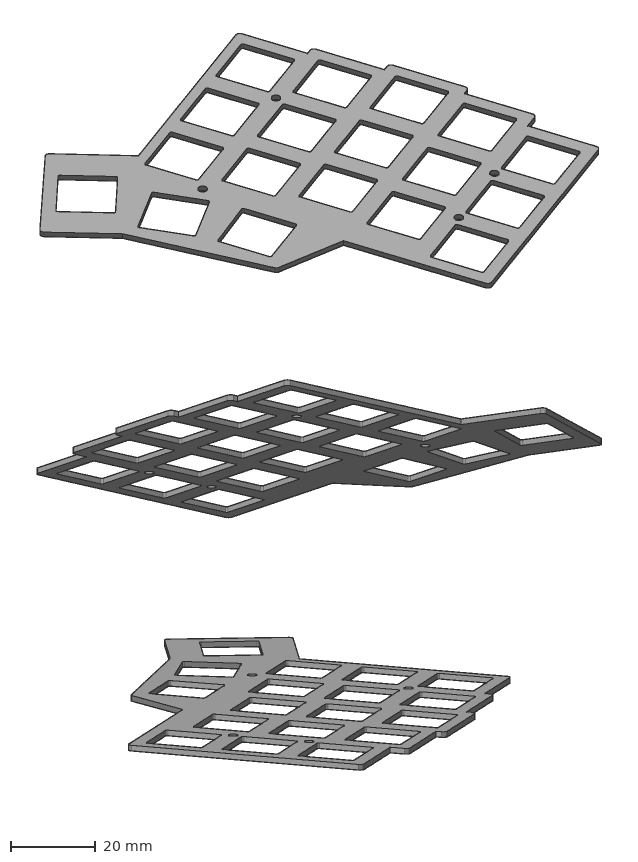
import cadquery as cq

thickness = 1.4
width = 116.1
depth = 94.4
corner_radius = 1.0

key_size = 14.0
key_radius = 0.5
key_pitch = 19.0
rows = 3
first_column_x = 29.5
bottom_row_y = [41.1, 43.5, 46.0, 43.5, 38.7]

tilted_thumb_keys = [(15.3, 17.8, 24.0), (37.2, 19.9, 12.0)]
inner_thumb_x = 58.0
inner_thumb_y = 22.1
inner_thumb_flare = 0.3

hole_diameter = 2.2
hole_centres = [(39.0, 70.8), (39.0, 31.6), (98.1, 67.3), (98.1, 48.3)]

left_x = 19.7
step_x = [38.1, 57.1, 78.1, 97.1]
outer_left_top = 89.6
shoulder_top = 92.0
right_top = 87.3
right_bottom = 28.2

outline = [
    (left_x, outer_left_top, True),
    (step_x[0], outer_left_top, False),
    (step_x[0], shoulder_top, True),
    (step_x[1], shoulder_top, False),
    (step_x[1], depth, True),
    (step_x[2], depth, True),
    (step_x[2], shoulder_top, False),
    (step_x[3], shoulder_top, True),
    (step_x[3], right_top, False),
    (width, right_top, True),
    (width, right_bottom, True),
    (77.7, right_bottom, False),
    (68.3, 11.7, True),
    (29.7, 7.7, False),
    (11.8, -0.3, True),
    (-0.3, 27.5, True),
    (left_x, 36.5, False),
]


def make_plate():
    plate = cq.Workplane("XY").polyline([(x, y) for x, y, _ in outline]).close().extrude(thickness)
    for x, y, rounded in outline:
        if rounded:
            corner = cq.selectors.NearestToPointSelector((x, y, thickness / 2))
            plate = plate.edges("|Z").edges(corner).fillet(corner_radius)
    return plate


def key_cutter(x, y, angle=0.0, flare=0.0):
    """Rounded square through the plate, its upper left corner shifted outward by flare."""
    half = key_size / 2
    corners = [(-half, -half), (half, -half), (half, half), (-half - flare, half)]
    cutter = cq.Workplane("XY").polyline(corners).close().extrude(thickness)
    cutter = cutter.edges("|Z").fillet(key_radius)
    return cutter.rotate((0, 0, 0), (0, 0, 1), angle).translate((x, y, 0))


result = make_plate()

for column, bottom_y in enumerate(bottom_row_y):
    for row in range(rows):
        key_x = first_column_x + column * key_pitch
        key_y = bottom_y + row * key_pitch
        result = result.cut(key_cutter(key_x, key_y))

for key_x, key_y, angle in tilted_thumb_keys:
    result = result.cut(key_cutter(key_x, key_y, angle))
result = result.cut(key_cutter(inner_thumb_x, inner_thumb_y, flare=inner_thumb_flare))

holes = cq.Workplane("XY").pushPoints(hole_centres).circle(hole_diameter / 2).extrude(thickness)
result = result.cut(holes)